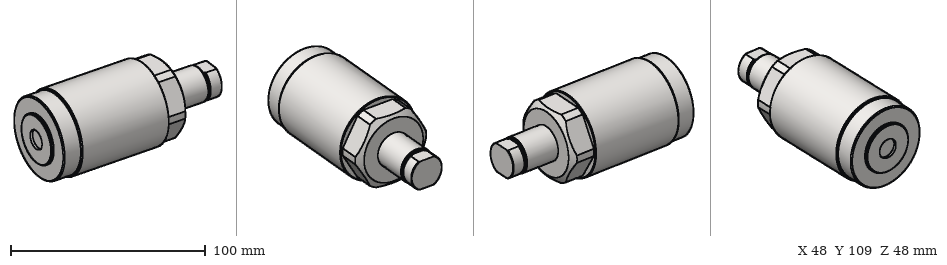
import cadquery as cq
import math

total_length = 109.0
front_y = -total_length / 2
rear_y = total_length / 2

boss_radius = 14.1
boss_height = 1.5
boss_chamfer = 0.5
recess_radius = 5.5
recess_depth = 1.5
nose_radius = 23.1
nose_length = 10.5
nose_chamfer = 0.7
barrel_radius = 24.0
barrel_length = 54.5
barrel_front_chamfer_length = 0.8
barrel_front_chamfer_depth = 0.4
barrel_rear_chamfer = 0.4
hex_length = 13.5
hex_across_flats = 41.1
hex_corner_radius = 22.6
hex_rear_radius = 18.7
hex_chamfer_length = 2.5

shank_radius = 10.0
shank_chamfer_length = 0.7
shank_chamfer_depth = 0.4
head_radius = 9.8
head_rear_chamfer = 0.3
head_front_chamfer = 0.5
neck_radius = head_radius - head_front_chamfer
neck_length = 0.7
head_length = 7.6
flat_spacing = 16.9
flat_length = 8.2

nose_y = front_y + boss_height
barrel_y = nose_y + nose_length
hex_y = barrel_y + barrel_length
rod_y = hex_y + hex_length
neck_y = rear_y - head_length - neck_length
head_y = rear_y - head_length


def revolve_about_y(profile):
    """Revolve (radius, y) points, starting and ending on the Y axis."""
    return cq.Workplane("XY").polyline(profile).close().revolve(360, (0, 0, 0), (0, 1, 0))


def make_hexagon():
    """Hexagon with flats facing +/-Z, rounded corners and a conical rear chamfer."""
    across_corners = hex_across_flats / math.cos(math.pi / 6)
    prism = (
        cq.Workplane("XZ", origin=(0, hex_y, 0))
        .polygon(6, across_corners)
        .extrude(-hex_length)
    )
    envelope = revolve_about_y([
        (0, hex_y),
        (hex_corner_radius, hex_y),
        (hex_corner_radius, rod_y - hex_chamfer_length),
        (hex_rear_radius, rod_y),
        (0, rod_y),
    ])
    return prism.intersect(envelope)


def make_housing():
    """Turned barrel joined to the hexagon, with a round recess in the front boss."""
    turned = revolve_about_y([
        (0, front_y),
        (boss_radius - boss_chamfer, front_y),
        (boss_radius, front_y + boss_chamfer),
        (boss_radius, nose_y),
        (nose_radius - nose_chamfer, nose_y),
        (nose_radius, nose_y + nose_chamfer),
        (nose_radius, barrel_y),
        (barrel_radius - barrel_front_chamfer_depth, barrel_y),
        (barrel_radius, barrel_y + barrel_front_chamfer_length),
        (barrel_radius, hex_y - barrel_rear_chamfer),
        (barrel_radius - barrel_rear_chamfer, hex_y),
        (0, hex_y),
    ])
    recess = (
        cq.Workplane("XZ", origin=(0, front_y, 0))
        .circle(recess_radius)
        .extrude(-recess_depth)
    )
    return turned.union(make_hexagon()).cut(recess)


def make_rod():
    """Rod standing on the hexagon, with flats across its head and part of its neck."""
    turned = revolve_about_y([
        (0, rod_y),
        (shank_radius, rod_y),
        (shank_radius, neck_y - shank_chamfer_length),
        (shank_radius - shank_chamfer_depth, neck_y),
        (neck_radius, neck_y),
        (neck_radius, head_y),
        (head_radius, head_y + head_front_chamfer),
        (head_radius, rear_y - head_rear_chamfer),
        (head_radius - head_rear_chamfer, rear_y),
        (0, rear_y),
    ])
    flat_cut_height = head_radius - flat_spacing / 2
    flat_offset = (flat_spacing + flat_cut_height) / 2
    for side in (-1, 1):
        flat_cut = cq.Workplane("XY").box(2 * head_radius, flat_length, flat_cut_height)
        turned = turned.cut(flat_cut.translate((0, rear_y - flat_length / 2, side * flat_offset)))
    return turned


housing = make_housing()
rod = make_rod()
result = cq.Compound.makeCompound([housing.solids().val(), rod.solids().val()])